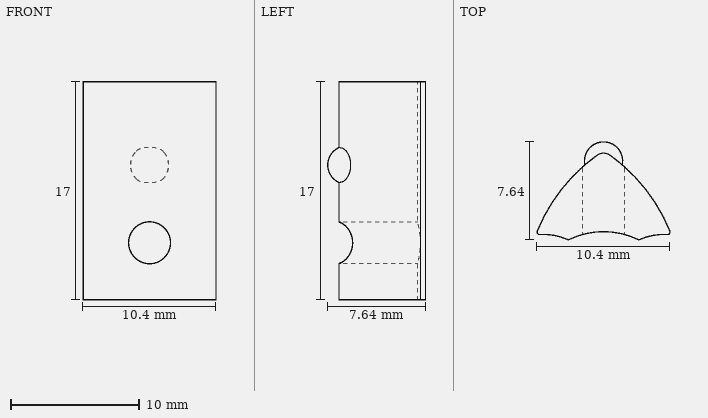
import cadquery as cq
import math

length = 17.0
half_width = 5.17

ridge_y = 6.75
ridge_radius = 0.85
ridge_angle = math.radians(42)
ridge_end_x = ridge_radius * math.sin(ridge_angle)
ridge_end_y = ridge_y - ridge_radius * (1 - math.cos(ridge_angle))

flank_mid = (3.3, 3.91)
flank_foot_y = 0.68

wing_outer = (4.9, 0.4)
corner_mid = (5.12, 0.46)
wing_mid = (3.88, 0.34)
lobe_outer = (2.85, 0.03)
lobe_tip = (2.75, 0.0)
lobe_inner = (2.64, 0.03)
hollow_depth = 0.63

bore_diameter = 3.25
bore_z = 4.45
ball_radius = 1.5
ball_y = 6.14
ball_z = 10.5


def mirrored(point):
    """Reflect a profile point across the YZ plane."""
    return (-point[0], point[1])


def make_body():
    ridge_end = (ridge_end_x, ridge_end_y)
    flank_foot = (half_width, flank_foot_y)
    profile = (
        cq.Workplane("XY")
        .moveTo(*mirrored(ridge_end))
        .threePointArc((0, ridge_y), ridge_end)
        .threePointArc(flank_mid, flank_foot)
        .threePointArc(corner_mid, wing_outer)
        .threePointArc(wing_mid, lobe_outer)
        .threePointArc(lobe_tip, lobe_inner)
        .threePointArc((0, hollow_depth), mirrored(lobe_inner))
        .threePointArc(mirrored(lobe_tip), mirrored(lobe_outer))
        .threePointArc(mirrored(wing_mid), mirrored(wing_outer))
        .threePointArc(mirrored(corner_mid), mirrored(flank_foot))
        .threePointArc(mirrored(flank_mid), mirrored(ridge_end))
        .close()
    )
    return profile.extrude(length)


def make_bore():
    """Cylinder along Y that passes through the whole body."""
    return (
        cq.Workplane("XZ")
        .center(0, bore_z)
        .circle(bore_diameter / 2)
        .extrude(-ridge_y)
    )


def make_ball():
    return cq.Workplane("XY").sphere(ball_radius).translate((0, ball_y, ball_z))


result = make_body().cut(make_bore()).union(make_ball())